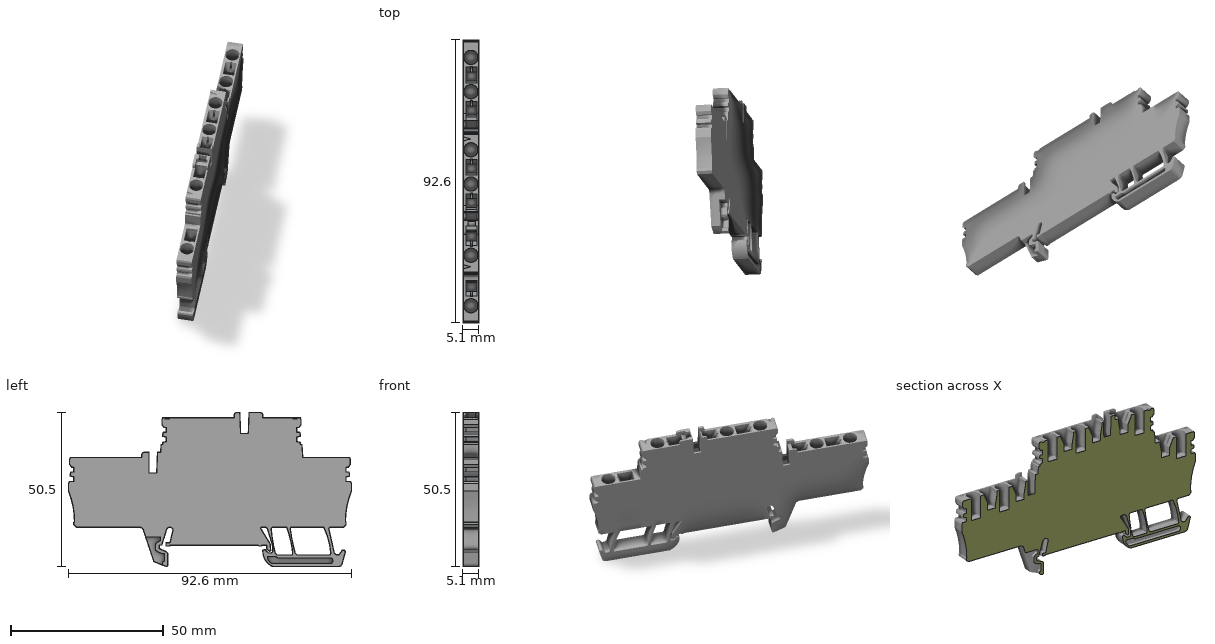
import cadquery as cq


WIDTH = 5.1
LENGTH = 92.6
HEIGHT = 50.45
SIDE_X = -WIDTH / 2

BODY_BOTTOM = 12.9
RAIL_SEAT = 6.95
SEAT_LIP_BOTTOM = 6.7
LOWER_TOP = 35.75
UPPER_TOP = 48.75
RIDGE_HEIGHT = HEIGHT - UPPER_TOP
LOWER_RIDGE_TOP = LOWER_TOP + RIDGE_HEIGHT
OVERLAP = 1.0

UPPER_CENTRE = -7.05
UPPER_HALF = 22.8
LOWER_HALF = LENGTH / 2

GROOVE_DEPTH = 1.4
TOOTH_INSET = 0.25
TOOTH_SLOPE = 0.25
EDGE_CHAMFER = 0.3
LIP_DEPTH = 2.25
GROOVE_1_TOP = 3.25
GROOVE_1_BOTTOM = 4.75
TOOTH_PEAK = 5.4
TOOTH_BOTTOM = 6.1
GROOVE_2_TOP = 6.4
GROOVE_2_BOTTOM = 7.8
NOTCHED_FLOOR_WIDTH = 0.85
NOTCHED_FLOOR_DEPTH = 0.1

ENTRY_DIAMETER = 4.65
ENTRY_WIDTH = 4.4
ENTRY_DEPTH = 8.0
ENTRY_OFFSET = 3.2
POCKET_X_MIN = SIDE_X + 0.87
POCKET_X_MAX = WIDTH / 2 - 0.5
POCKET_WIDTH = POCKET_X_MAX - POCKET_X_MIN
POCKET_LENGTH = 5.1
POCKET_DEPTH = 6.0
RAMP_LENGTH = 1.5
RAMP_DROP = 3.3
END_SLOPE = 0.65
END_SLOPE_TOP = 1.0
END_SLOPE_BOTTOM = 4.5
NOTCH_WIDTH = 0.7
NOTCH_OVERRUN = 0.25

TERMINALS = [
    (37.4, -1, LOWER_TOP),
    (26.2, -1, LOWER_TOP),
    (7.2, -1, UPPER_TOP),
    (-4.0, -1, UPPER_TOP),
    (-20.9, 1, UPPER_TOP),
    (-37.4, 1, LOWER_TOP),
]

LOWER_RIDGE_OUTER = 22.35
LOWER_SLOT_OUTER = 19.9
LOWER_SLOT_INNER = 17.2
LOWER_SLOT_BOTTOM = 30.7
UPPER_RIDGE_START = -7.9
UPPER_RIDGE_END = -17.3
UPPER_SLOT_START = -9.8
UPPER_SLOT_END = -12.75
UPPER_SLOT_BOTTOM = 43.6
SLOT_TAPER = 0.25
SLOT_WELL_X_MIN = SIDE_X + 1.0
SLOT_WELL_WIDTH = 3.6
SLOT_WELL_DEPTH = 2.0
RIDGE_RADIUS = 0.9
SILL_DROP = 1.4

STEP_WALL = 0.25
STEP_NARROW_X_MIN = SIDE_X + 1.5
STEP_NARROW_WIDTH = 2.5
STEP_NARROW_LENGTH = 1.45
STEP_NARROW_DROP = 1.0

ARROW_LENGTH = 2.4
ARROW_WIDTH = 1.35
ARROW_DEPTH = 0.4
ARROW_CENTRES = [13.95, -27.85]

RECESS_DEPTH = 2.0


def side_outline(y_start, z_start):
    """Start a (Y, Z) outline on the side face, to be extruded along +X."""
    return cq.Workplane("YZ", origin=(SIDE_X, 0, 0)).moveTo(y_start, z_start)


def prism(points, x_start=SIDE_X, thickness=WIDTH):
    """Extrude a closed (Y, Z) outline along +X."""
    return cq.Workplane("YZ", origin=(x_start, 0, 0)).polyline(points).close().extrude(thickness)


def box(x_min, x_size, y_range, z_range):
    """Rectangular block from its X start and size and its Y and Z limits."""
    y_low, y_high = sorted(y_range)
    z_low, z_high = z_range
    corner = (x_min, y_low, z_low)
    return cq.Workplane("XY").box(x_size, y_high - y_low, z_high - z_low, centered=False).translate(corner)


def grip_points(end, top):
    """Points of the grooved +Y end, from the deck top down to the foot of the second groove."""
    return [
        (end - EDGE_CHAMFER, top),
        (end, top - 2 * EDGE_CHAMFER),
        (end, top - LIP_DEPTH),
        (end - GROOVE_DEPTH / 2, top - GROOVE_1_TOP),
        (end - GROOVE_DEPTH, top - GROOVE_1_TOP),
        (end - GROOVE_DEPTH, top - GROOVE_1_BOTTOM),
        (end - TOOTH_INSET - TOOTH_SLOPE, top - GROOVE_1_BOTTOM),
        (end - TOOTH_INSET, top - TOOTH_PEAK),
        (end - TOOTH_INSET, top - TOOTH_BOTTOM),
        (end - GROOVE_DEPTH, top - GROOVE_2_TOP),
        (end - GROOVE_DEPTH, top - GROOVE_2_BOTTOM),
    ]


def mirrored_half(half, centre):
    """Join a half on the +Y side of a centre line to its mirror image."""
    return half.union(half.mirror("XZ")).translate((0, centre, 0))


def groove_notches(end, top):
    """Shallow notches at the side-face end of both grip groove floors."""
    floor = end - GROOVE_DEPTH
    y_range = (floor - NOTCHED_FLOOR_DEPTH, floor)
    first = box(SIDE_X, NOTCHED_FLOOR_WIDTH, y_range, (top - GROOVE_1_BOTTOM, top - GROOVE_1_TOP))
    second = box(SIDE_X, NOTCHED_FLOOR_WIDTH, y_range, (top - GROOVE_2_BOTTOM, top - GROOVE_2_TOP))
    return first.union(second)


def lower_deck():
    grip_end = LOWER_HALF - 0.35
    bulge_chamfer_bottom = LOWER_TOP - 8.5
    bulge_bottom = 24.7
    heel_top = 14.4
    waist_bottom = 14.7
    waist = LOWER_HALF - 1.95
    heel = LOWER_HALF - 1.75
    corner = 0.85
    outline = side_outline(0, LOWER_TOP)
    for point in grip_points(grip_end, LOWER_TOP):
        outline = outline.lineTo(*point)
    half = (
        outline
        .lineTo(grip_end, LOWER_TOP - GROOVE_2_BOTTOM)
        .lineTo(LOWER_HALF, bulge_chamfer_bottom)
        .lineTo(LOWER_HALF, bulge_bottom)
        .threePointArc((LOWER_HALF - 1.4, 20.2), (waist, waist_bottom))
        .lineTo(heel, heel_top)
        .lineTo(heel, BODY_BOTTOM + corner)
        .lineTo(heel - corner, BODY_BOTTOM)
        .lineTo(0, BODY_BOTTOM)
        .close()
        .extrude(WIDTH)
    )
    half = half.cut(groove_notches(grip_end, LOWER_TOP))
    return mirrored_half(half, 0)


def upper_deck():
    shoulder = UPPER_TOP - 8.75
    shoulder_inner = UPPER_HALF - 0.3
    shoulder_outer = UPPER_HALF + 0.25
    foot = UPPER_HALF + 0.55
    groove_flare = 0.25
    half = prism(
        [(0, UPPER_TOP)]
        + grip_points(UPPER_HALF, UPPER_TOP)
        + [
            (shoulder_inner, UPPER_TOP - GROOVE_2_BOTTOM - groove_flare),
            (shoulder_inner, shoulder),
            (shoulder_outer, shoulder),
            (foot, LOWER_TOP),
            (foot, LOWER_TOP - OVERLAP),
            (0, LOWER_TOP - OVERLAP),
        ]
    )
    half = half.cut(groove_notches(UPPER_HALF, UPPER_TOP))
    return mirrored_half(half, UPPER_CENTRE)


def ridges():
    lower_inner = UPPER_CENTRE + UPPER_HALF
    lower = (
        box(SIDE_X, WIDTH, (LOWER_RIDGE_OUTER, lower_inner), (LOWER_TOP - OVERLAP, LOWER_RIDGE_TOP))
        .edges("|X and >Y and >Z").fillet(RIDGE_RADIUS)
    )
    upper = (
        box(SIDE_X, WIDTH, (UPPER_RIDGE_START, UPPER_RIDGE_END), (UPPER_TOP - OVERLAP, HEIGHT))
        .edges("|X and >Z").fillet(RIDGE_RADIUS)
    )
    return lower.union(upper)


def slot_well(y_start, y_end, floor):
    return box(SLOT_WELL_X_MIN, SLOT_WELL_WIDTH, (y_start, y_end), (floor - SLOT_WELL_DEPTH, floor))


def marker_slots():
    lower = prism([
        (LOWER_SLOT_OUTER, LOWER_RIDGE_TOP),
        (LOWER_SLOT_OUTER, LOWER_SLOT_BOTTOM),
        (LOWER_SLOT_INNER + SLOT_TAPER, LOWER_SLOT_BOTTOM),
        (LOWER_SLOT_INNER, LOWER_RIDGE_TOP),
    ])
    upper = prism([
        (UPPER_SLOT_START, HEIGHT),
        (UPPER_SLOT_START - SLOT_TAPER, UPPER_SLOT_BOTTOM),
        (UPPER_SLOT_END + SLOT_TAPER, UPPER_SLOT_BOTTOM),
        (UPPER_SLOT_END, HEIGHT),
    ])
    lower_well = slot_well(LOWER_SLOT_OUTER, LOWER_SLOT_INNER + SLOT_TAPER, LOWER_SLOT_BOTTOM)
    upper_well = slot_well(UPPER_SLOT_START - SLOT_TAPER, UPPER_SLOT_END + SLOT_TAPER, UPPER_SLOT_BOTTOM)
    return lower.union(upper).union(lower_well).union(upper_well)


def terminal_cuts(ramp_end, direction, top):
    """Round wire entry plus the pocket with its split ramp."""
    def along(distance):
        return ramp_end + direction * distance

    pocket = prism(
        [
            (along(0), top + RIDGE_HEIGHT),
            (along(0), top),
            (along(RAMP_LENGTH), top - RAMP_DROP),
            (along(RAMP_LENGTH), top - POCKET_DEPTH),
            (along(POCKET_LENGTH - END_SLOPE), top - POCKET_DEPTH),
            (along(POCKET_LENGTH - END_SLOPE), top - END_SLOPE_BOTTOM),
            (along(POCKET_LENGTH), top - END_SLOPE_TOP),
            (along(POCKET_LENGTH), top + RIDGE_HEIGHT),
        ],
        POCKET_X_MIN,
        POCKET_WIDTH,
    )
    notch_x = (POCKET_X_MIN + POCKET_X_MAX - NOTCH_WIDTH) / 2
    notch = box(notch_x, NOTCH_WIDTH, (along(-NOTCH_OVERRUN), along(RAMP_LENGTH)), (top - RAMP_DROP, top))
    entry = (
        cq.Workplane("XY", origin=(0, along(-ENTRY_OFFSET), top))
        .circle(ENTRY_DIAMETER / 2)
        .extrude(-ENTRY_DEPTH)
    )
    entry_y_range = (along(-ENTRY_OFFSET - ENTRY_DIAMETER), along(-ENTRY_OFFSET + ENTRY_DIAMETER))
    entry = entry.intersect(box(-ENTRY_WIDTH / 2, ENTRY_WIDTH, entry_y_range, (top - ENTRY_DEPTH, top)))
    return pocket.union(notch).union(entry)


def ridge_openings():
    """Openings that join the pockets inside the ridges to the marker slots."""
    lower_sill = LOWER_RIDGE_TOP - SILL_DROP
    upper_sill = HEIGHT - SILL_DROP
    lower = box(
        POCKET_X_MIN, POCKET_WIDTH, (LOWER_RIDGE_OUTER, LOWER_SLOT_OUTER), (lower_sill, LOWER_RIDGE_TOP)
    )
    upper = box(
        POCKET_X_MIN, POCKET_WIDTH, (UPPER_RIDGE_START, UPPER_SLOT_START), (upper_sill, HEIGHT)
    )
    step_start = UPPER_SLOT_END - STEP_WALL
    step_middle = step_start - STEP_NARROW_LENGTH
    narrow_z_range = (UPPER_TOP - STEP_NARROW_DROP, HEIGHT)
    narrow = box(STEP_NARROW_X_MIN, STEP_NARROW_WIDTH, (step_start, step_middle), narrow_z_range)
    wide = box(POCKET_X_MIN, POCKET_WIDTH, (step_middle, UPPER_RIDGE_END), (UPPER_TOP, HEIGHT))
    return lower.union(upper).union(narrow).union(wide)


def arrow(centre):
    """Engraved triangle open at the side face and pointing to +X."""
    return (
        cq.Workplane("XY", origin=(SIDE_X, centre, UPPER_TOP))
        .polyline([(0, ARROW_WIDTH / 2), (0, -ARROW_WIDTH / 2), (ARROW_LENGTH, 0)])
        .close()
        .extrude(-ARROW_DEPTH)
    )


def clip_foot():
    """Springy hook and the rail seat beside it, separated by a slanted relief."""
    relief_top = (13.1, BODY_BOTTOM)
    return (
        side_outline(22.9, BODY_BOTTOM + OVERLAP)
        .lineTo(22.9, BODY_BOTTOM)
        .threePointArc((22.2, 12.55), (21.7, 11.7))
        .lineTo(18.35, 1.65)
        .lineTo(14.15, 0)
        .lineTo(13.75, 0.4)
        .lineTo(13.75, 4.4)
        .lineTo(14.35, 4.95)
        .lineTo(16.55, 5.95)
        .lineTo(16.55, 7.05)
        .lineTo(15.75, 7.05)
        .lineTo(14.15, 12.2)
        .threePointArc(relief_top, (12.1, 12.1))
        .lineTo(13.1, 7.9)
        .lineTo(14.4, 7.9)
        .lineTo(14.4, SEAT_LIP_BOTTOM)
        .lineTo(13.1, SEAT_LIP_BOTTOM)
        .lineTo(13.1, RAIL_SEAT)
        .lineTo(0, RAIL_SEAT)
        .lineTo(0, BODY_BOTTOM + OVERLAP)
        .close()
        .extrude(WIDTH)
    )


def clip_recess():
    """Side recess that leaves a rim along the gripping edge of the hook."""
    return prism(
        [
            (21.05, 9.8),
            (16.25, 9.8),
            (16.25, 8.5),
            (17.3, 7.95),
            (17.75, 7.4),
            (17.75, 5.5),
            (17.15, 4.9),
            (15.9, 4.4),
            (14.95, 4.25),
            (14.95, 1.8),
            (15.5, 1.5),
            (15.5, 0),
            (21.05, 0),
        ],
        thickness=RECESS_DEPTH,
    )


def fixed_foot():
    """Solid outline of the fixed foot, before the openings between its legs are cut."""
    return (
        side_outline(0, BODY_BOTTOM + OVERLAP)
        .lineTo(0, RAIL_SEAT)
        .lineTo(-15.75, RAIL_SEAT)
        .lineTo(-16.1, SEAT_LIP_BOTTOM)
        .lineTo(-16.8, SEAT_LIP_BOTTOM)
        .lineTo(-17.0, RAIL_SEAT)
        .lineTo(-18.35, RAIL_SEAT)
        .lineTo(-18.35, 5.6)
        .lineTo(-17.6, 5.6)
        .lineTo(-17.25, 5.3)
        .threePointArc((-18.2, 2.0), (-20.6, 0))
        .lineTo(-41.9, 0)
        .threePointArc((-42.85, 0.35), (-43.3, 1.1))
        .lineTo(-44.3, 4.8)
        .lineTo(-44.05, 5.4)
        .lineTo(-43.25, 5.4)
        .lineTo(-42.2, 3.95)
        .lineTo(-41.35, 3.95)
        .lineTo(-40.7, 4.4)
        .lineTo(-38.9, 12.4)
        .lineTo(-39.2, BODY_BOTTOM)
        .lineTo(-39.2, BODY_BOTTOM + OVERLAP)
        .close()
        .extrude(WIDTH)
    )


def foot_openings():
    """Gap around the flexible tongue and two windows between the legs."""
    floor = 3.9
    tongue_gap = prism([
        (-16.55, 12.6),
        (-16.9, BODY_BOTTOM),
        (-18.4, BODY_BOTTOM),
        (-18.8, 12.3),
        (-20.4, 7.05),
        (-20.55, 4.95),
        (-20.05, 4.5),
        (-19.15, 4.5),
        (-18.3, 5.3),
        (-18.3, RAIL_SEAT),
        (-18.5, RAIL_SEAT),
        (-18.5, 5.85),
        (-19.5, 5.0),
        (-19.9, 5.3),
        (-19.7, 7.5),
    ])
    narrow_window = (
        side_outline(-20.05, 12.5)
        .lineTo(-20.4, BODY_BOTTOM)
        .lineTo(-25.1, BODY_BOTTOM)
        .threePointArc((-26.2, 9.2), (-26.9, 5.65))
        .lineTo(-26.95, floor)
        .lineTo(-21.9, floor)
        .lineTo(-21.4, 4.4)
        .threePointArc((-20.55, 8.4), (-20.05, 12.5))
        .close()
        .extrude(WIDTH)
    )
    wide_window = (
        side_outline(-26.3, 12.4)
        .lineTo(-26.5, BODY_BOTTOM)
        .lineTo(-37.2, BODY_BOTTOM)
        .threePointArc((-38.6, 9.2), (-39.5, 4.3))
        .lineTo(-39.25, floor)
        .lineTo(-28.4, floor)
        .lineTo(-27.9, 4.4)
        .threePointArc((-26.95, 8.4), (-26.3, 12.4))
        .close()
        .extrude(WIDTH)
    )
    return tongue_gap.union(narrow_window).union(wide_window)


def foot_recess():
    """Long blind groove in the side of the fixed foot."""
    return (
        side_outline(-18.8, 3.4)
        .lineTo(-21.4, 3.4)
        .lineTo(-22.3, 2.85)
        .lineTo(-39.8, 2.85)
        .threePointArc((-40.2, 1.95), (-39.8, 1.05))
        .lineTo(-20.05, 1.05)
        .lineTo(-18.8, 2.5)
        .close()
        .extrude(RECESS_DEPTH)
    )


body = lower_deck().union(upper_deck()).union(ridges()).union(clip_foot()).union(fixed_foot())
body = body.cut(marker_slots()).cut(ridge_openings())
for terminal in TERMINALS:
    body = body.cut(terminal_cuts(*terminal))
for arrow_centre in ARROW_CENTRES:
    body = body.cut(arrow(arrow_centre))
result = body.cut(clip_recess()).cut(foot_openings()).cut(foot_recess())